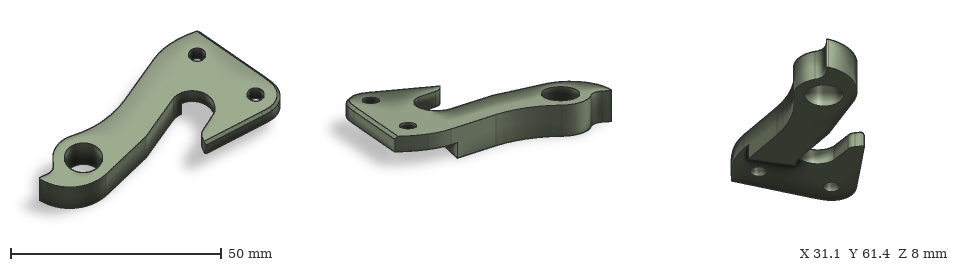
import cadquery as cq


arm_thickness = 8.0
plate_thickness = arm_thickness / 2
step_y = 30.7
edge_chamfer = 0.75

eye_radius = 7.3
eye_hole_diameter = 9.1
mount_hole_diameter = 4.05
left_hole = (-5.8, 41.3)
right_hole = (12.65, 43.5)

corner_radius = 5.85
corner_top = (right_hole[0], right_hole[1] + corner_radius)
corner_side = (right_hole[0] + corner_radius, right_hole[1])

plate_corner = (-11.0, 46.8)
hook_tip = (16.0, 24.45)
stop_tip = (-2.45, -12.15)
corner_rounding = 0.3
hook_rounding = 0.5
stop_rounding = 0.3

top_edge_end = (9.3, 49.15)
side_edge_start = (18.25, 40.85)
nose_end = (13.9, 25.4)
nose_middle = (13.0, 26.0)
nose_start = (12.5, 26.95)
slot_right = (10.4, 32.25)
slot_top = (5.8, 34.85)
slot_left = (0.55, 28.1)
arm_bend = (5.0, 15.5)
eye_side = (7.4, 0.7)
stop_outer_middle = (5.2, -7.7)
stop_inner_end = (-1.95, -9.8)
stop_inner_middle = (-2.3, -7.75)
arm_waist = (-5.4, 10.9)
arm_left_bottom = (-6.8, 19.2)
arm_left_top = (-11.55, 32.55)
plate_left = (-12.55, 38.8)
eye_left_y = 2.4
stop_root_y = -6.25
hook_clearance_x = 9.2


def on_eye_left(y):
    """Point on the left side of the eye's outer circle at height y."""
    return (-((eye_radius**2 - y**2) ** 0.5), y)


def vertical_edge_at(point):
    """Select the full-height edge standing on an outline corner."""
    x, y = point
    reach = 0.05
    return cq.selectors.BoxSelector(
        (x - reach, y - reach, -arm_thickness),
        (x + reach, y + reach, arm_thickness * 2),
    )


def blank():
    """Full-thickness outline, drawn clockwise from the top left corner."""
    return (
        cq.Workplane("XY")
        .moveTo(*plate_corner)
        .lineTo(*top_edge_end)
        .tangentArcPoint(corner_top, relative=False)
        .radiusArc(corner_side, corner_radius)
        .tangentArcPoint(side_edge_start, relative=False)
        .lineTo(*hook_tip)
        .lineTo(*nose_end)
        .threePointArc(nose_middle, nose_start)
        .lineTo(*slot_right)
        .threePointArc(slot_top, slot_left)
        .lineTo(*arm_bend)
        .lineTo(*eye_side)
        .threePointArc(stop_outer_middle, stop_tip)
        .lineTo(*stop_inner_end)
        .threePointArc(stop_inner_middle, on_eye_left(stop_root_y))
        .threePointArc((-eye_radius, 0), on_eye_left(eye_left_y))
        .threePointArc(arm_waist, arm_left_bottom)
        .lineTo(*arm_left_top)
        .tangentArcPoint(plate_left, relative=False)
        .tangentArcPoint(plate_corner, relative=False)
        .close()
        .extrude(arm_thickness)
    )


def thin_plate_cut():
    """Material removed under the plate and under the hook."""
    size = 122.85
    depth = arm_thickness - plate_thickness
    under_plate = cq.Workplane("XY").box(size, size, depth, centered=(True, False, False))
    under_hook = cq.Workplane("XY").box(size, size, depth, centered=(False, True, False))
    return under_plate.translate((0, step_y, 0)).union(under_hook.translate((hook_clearance_x, 0, 0)))


def chamfered_rim(body):
    """Chamfer the top rim from the plate corner round to the hook tip."""
    reach = 0.05
    rim_start = cq.selectors.BoxSelector(
        (right_hole[0], corner_top[1] - corner_radius / 2, arm_thickness - reach),
        (corner_side[0], corner_top[1], arm_thickness + reach),
    )
    return body.edges(rim_start).chamfer(edge_chamfer)


result = blank().cut(thin_plate_cut())
result = chamfered_rim(result)
for corner, rounding in (
    (plate_corner, corner_rounding),
    (hook_tip, hook_rounding),
    (stop_tip, stop_rounding),
):
    result = result.edges(vertical_edge_at(corner)).edges("|Z").fillet(rounding)

result = result.cut(cq.Workplane("XY").circle(eye_hole_diameter / 2).extrude(arm_thickness))
mount_holes = (
    cq.Workplane("XY")
    .pushPoints([left_hole, right_hole])
    .circle(mount_hole_diameter / 2)
    .extrude(arm_thickness)
)
result = result.cut(mount_holes)